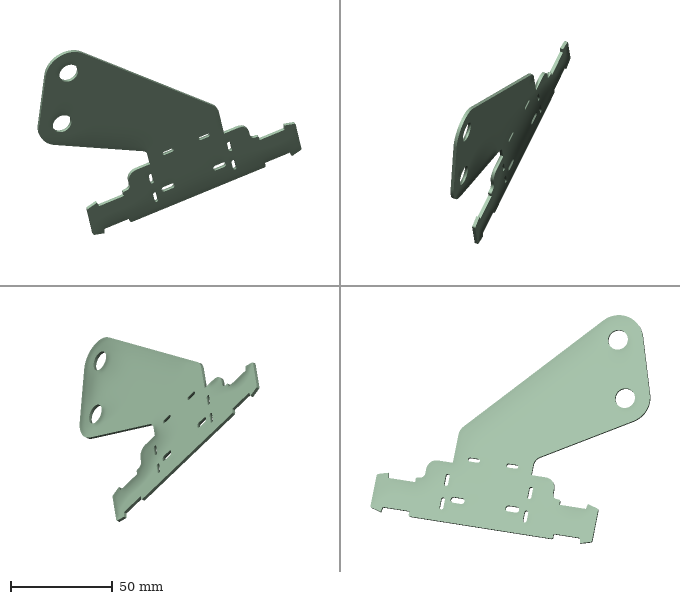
import cadquery as cq
import math

thickness = 1.7
tilt = 11.2

base_half_height = 15.0
base_half_length = 56.7
shoulder_half_length = 32.7
shoulder_radius = 5.0
step_half_length = 36.9
step_height = 5.0
step_root_radius = 2.5
corner_radius = 0.8

bar_middle = (step_height - base_half_height) / 2
bar_half_height = 7.5
tab_start = 50.5
tab_tip = 51.0
tab_tip_half_height = step_height - bar_middle
tab_end_half_height = 8.4

arm_half_width = 20.0
arm_end_radius = 12.5
hole_diameter = 10.0
upper_hole = (49.8, 89.1)
lower_hole = (59.0, 60.6)
outer_knee = (-arm_half_width, 32.0)
inner_knee = (arm_half_width, 23.1)
outer_knee_radius = 7.0
inner_knee_radius = 5.0

small_slot_length = 6.0
small_slot_width = 2.0
large_slot_length = 7.0
large_slot_width = 3.0
upright_slot_u = 21.3
upright_slot_v = 6.0
arm_slot_u = 9.8
arm_slot_v = 18.0
large_slot_u = 14.0
large_slot_v = -3.4


def round_corners(body, corners, radius):
    """Round the through-thickness edges standing at the given corners."""
    for u, v in corners:
        nearest = cq.selectors.NearestToPointSelector((u, v, thickness / 2))
        body = body.edges("|Z").edges(nearest).fillet(radius)
    return body


def tangent_point(start, centre, radius, side):
    """Touching point of the line from start to a circle; side is +1 left, -1 right of the line."""
    du = centre[0] - start[0]
    dv = centre[1] - start[1]
    bearing = math.atan2(dv, du) + side * math.asin(radius / math.hypot(du, dv))
    reach = math.sqrt(du**2 + dv**2 - radius**2)
    return (start[0] + reach * math.cos(bearing), start[1] + reach * math.sin(bearing))


def arm_end_point(hole, angle):
    """Point on the rounded arm end around a hole."""
    return (hole[0] + arm_end_radius * math.cos(angle), hole[1] + arm_end_radius * math.sin(angle))


def direction(start, end):
    """Angle in radians of the line from start to end."""
    return math.atan2(end[1] - start[1], end[0] - start[0])


def make_base():
    """Symmetric base: half of it outlined, rounded and mirrored."""
    shoulder_top = (shoulder_half_length, base_half_height)
    shoulder_root = (shoulder_half_length, step_height)
    upper_step = (step_half_length, step_height)
    lower_step = (step_half_length, -base_half_height)
    upper_tab_end = (base_half_length, bar_middle + tab_end_half_height)
    lower_tab_end = (base_half_length, bar_middle - tab_end_half_height)
    half = (
        cq.Workplane("XY")
        .polyline([
            (0, base_half_height),
            shoulder_top,
            shoulder_root,
            upper_step,
            (step_half_length, bar_middle + bar_half_height),
            (tab_start, bar_middle + bar_half_height),
            (tab_tip, bar_middle + tab_tip_half_height),
            upper_tab_end,
            lower_tab_end,
            (tab_tip, bar_middle - tab_tip_half_height),
            (tab_start, bar_middle - bar_half_height),
            (step_half_length, bar_middle - bar_half_height),
            lower_step,
            (0, -base_half_height),
        ])
        .close()
        .extrude(thickness)
    )
    half = round_corners(half, [shoulder_top], shoulder_radius)
    half = round_corners(half, [shoulder_root], step_root_radius)
    half = round_corners(half, [upper_step, lower_step, upper_tab_end, lower_tab_end], corner_radius)
    return half.union(half.mirror("YZ"))


def make_arm():
    """Leaning arm whose straight sides run tangent to the rounded ends around the holes."""
    lower_touch = tangent_point(inner_knee, lower_hole, arm_end_radius, -1)
    upper_touch = tangent_point(outer_knee, upper_hole, arm_end_radius, 1)
    outward = direction(lower_hole, upper_hole) - math.pi / 2
    lower_mid = (direction(lower_hole, lower_touch) + outward) / 2
    upper_mid = (direction(upper_hole, upper_touch) + outward) / 2
    arm = (
        cq.Workplane("XY")
        .moveTo(-arm_half_width, 0)
        .lineTo(arm_half_width, 0)
        .lineTo(*inner_knee)
        .lineTo(*lower_touch)
        .threePointArc(arm_end_point(lower_hole, lower_mid), arm_end_point(lower_hole, outward))
        .lineTo(*arm_end_point(upper_hole, outward))
        .threePointArc(arm_end_point(upper_hole, upper_mid), upper_touch)
        .lineTo(*outer_knee)
        .close()
        .extrude(thickness)
    )
    arm = round_corners(arm, [outer_knee], outer_knee_radius)
    arm = round_corners(arm, [inner_knee], inner_knee_radius)
    holes = (
        cq.Workplane("XY")
        .pushPoints([upper_hole, lower_hole])
        .circle(hole_diameter / 2)
        .extrude(thickness)
    )
    return arm.cut(holes)


def make_slots(centres, length, width, angle):
    """Round-ended slot cutters; an angle of 90 stands them across the base."""
    return cq.Workplane("XY").pushPoints(centres).slot2D(length, width, angle).extrude(thickness)


def both_sides(u, v):
    """A point and its mirror image about the base centre line."""
    return [(-u, v), (u, v)]


plate = make_base().union(make_arm())

upright_centres = both_sides(upright_slot_u, upright_slot_v) + both_sides(upright_slot_u, -upright_slot_v)
arm_centres = both_sides(arm_slot_u, arm_slot_v)
large_centres = both_sides(large_slot_u, large_slot_v)
plate = plate.cut(make_slots(upright_centres, small_slot_length, small_slot_width, 90))
plate = plate.cut(make_slots(arm_centres, small_slot_length, small_slot_width, 0))
plate = plate.cut(make_slots(large_centres, large_slot_length, large_slot_width, 0))

tilted = plate.translate((0, 0, -thickness / 2)).rotate((0, 0, 0), (0, 0, 1), -tilt)
upright = cq.Plane(origin=(0, 0, 0), xDir=(0, -1, 0), normal=(-1, 0, 0))
result = cq.Workplane(tilted.val().moved(cq.Location(upright)))